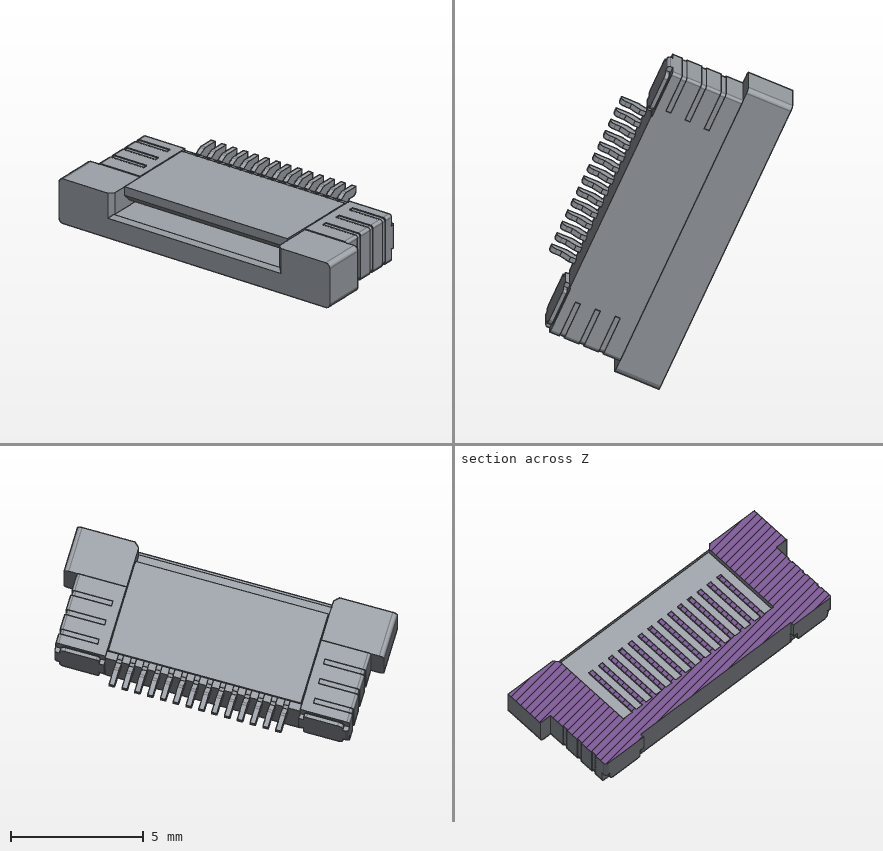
import cadquery as cq
import math

SLIDER_WIDTH = 12.55
SLIDER_DEPTH = 1.82
SLIDER_BOTTOM = 0.06
SLIDER_TOP = 1.95
SLIDER_FILLET = 0.19

HOUSING_WIDTH = 11.52
HOUSING_BACK = 4.7
HOUSING_TOP = 1.98
HOUSING_FILLET = 0.11

SLOT_WIDTH = 7.63
SLOT_FLOOR = 1.04
SLOT_BACK = 3.76
SLOT_CEILING = 1.29
SIDE_CHAMFER = 0.19
FLOOR_CHAMFER = 0.15

PLATE_WIDTH = 7.55
PLATE_FRONT = 0.75
PLATE_BACK = 4.45
LIP_BOTTOM = 1.62
STEP_BACK = 4.75
STEP_TOP = 1.88

GROOVE_WIDTH = 0.2
GROOVE_DEPTH = 0.04
GROOVE_PITCH = 0.8
FIRST_GROOVE_Y = 2.61
FIRST_GROOVE_END_X = 4.15
GROOVE_END_STEP = 0.04
GROOVE_COUNT = 3

TAB_BACK = 4.91
TAB_LOWER = 0.53
TAB_UPPER = 1.5
TAB_CORNER_FILLET = 0.11
CORE_INNER_X = 4.0
CORE_OUTER_X = 5.55
CORE_FRONT = STEP_BACK
CORE_BOTTOM = 0.15
CORE_TOP = 1.86
CORE_INNER_FILLET = 0.11
CORE_OUTER_FILLET = 0.2
NECK_INSET = 0.04

CONTACT_COUNT = 14
CONTACT_PITCH = 0.5
CONTACT_WIDTH = 0.2
TAIL_END = 5.76
TAIL_TOP = 2.05
TAIL_UNDERSIDE = 1.7
TAIL_TOE_RADIUS = 0.2
TAIL_BEND_START = 5.15
TAIL_BEND_END = 5.05
TAIL_BEND_DROP = 0.03
TAIL_HEEL = 5.35
SHANK_BOTTOM = 1.48
SHANK_BACK = 4.98
VALLEY_Y = 4.8
VALLEY_Z = 1.87
HUMP_FOOT_Y = 4.67
HUMP_FOOT_Z = 1.91
HUMP_PEAK_Y = 4.57
HUMP_PEAK_Z = 1.95
BEAM_DROP = 0.08
BEAM_FRONT = 1.25
BEAM_LEAD_IN = 0.11


def block(x0, x1, y0, y1, z0, z1):
    """Box between two opposite corners."""
    return cq.Workplane("XY").box(x1 - x0, y1 - y0, z1 - z0, centered=False).translate((x0, y0, z0))


def centred_block(width, y0, y1, z0, z1):
    """Box symmetric about X = 0."""
    return block(-width / 2, width / 2, y0, y1, z0, z1)


def extrude_across(profile, width):
    """Extrude a closed (Y, Z) outline symmetrically along X."""
    return profile.close().extrude(width / 2, both=True)


def both_sides(shape):
    """The shape together with its mirror image across X = 0."""
    return shape.union(shape.mirror("YZ"))


def slider():
    """Wide front block with rounded long edges."""
    body = centred_block(SLIDER_WIDTH, 0, SLIDER_DEPTH, SLIDER_BOTTOM, SLIDER_TOP)
    return body.edges("|Y").fillet(SLIDER_FILLET)


def housing():
    """Block behind the slider with rounded long edges."""
    body = centred_block(HOUSING_WIDTH, SLIDER_DEPTH, HOUSING_BACK, 0, HOUSING_TOP)
    return body.edges("|Y").fillet(HOUSING_FILLET)


def grooves():
    """Material removed by the grip grooves of the right wing."""
    half = HOUSING_WIDTH / 2
    rings = cq.Workplane("XY")
    for i in range(GROOVE_COUNT):
        y = FIRST_GROOVE_Y + i * GROOVE_PITCH
        y0 = y - GROOVE_WIDTH / 2
        y1 = y + GROOVE_WIDTH / 2
        inner_x = FIRST_GROOVE_END_X + i * GROOVE_END_STEP
        core = block(0, half - GROOVE_DEPTH, y0, y1, GROOVE_DEPTH, HOUSING_TOP - GROOVE_DEPTH)
        core = core.edges("|Y and >X").fillet(HOUSING_FILLET)
        rings = rings.add(block(inner_x, half, y0, y1, 0, HOUSING_TOP).cut(core))
    return rings.combine()


def centre_pocket():
    """Opening between the wings, with a mouth flared by chamfers at the sides and the floor."""
    half = SLOT_WIDTH / 2
    mouth_half = half + SIDE_CHAMFER
    mouth_bottom = SLOT_FLOOR - FLOOR_CHAMFER
    pocket = centred_block(SLOT_WIDTH, 0, HOUSING_BACK, SLOT_FLOOR, HOUSING_TOP)
    side_flare = (
        cq.Workplane("XY", origin=(0, 0, mouth_bottom))
        .polyline([(-mouth_half, 0), (mouth_half, 0), (half, SIDE_CHAMFER), (-half, SIDE_CHAMFER)])
        .close()
        .extrude(HOUSING_TOP - mouth_bottom)
    )
    floor_flare = extrude_across(
        cq.Workplane("YZ").polyline(
            [
                (0, mouth_bottom),
                (FLOOR_CHAMFER, SLOT_FLOOR),
                (SIDE_CHAMFER, SLOT_FLOOR),
                (SIDE_CHAMFER, HOUSING_TOP),
                (0, HOUSING_TOP),
            ]
        ),
        2 * mouth_half,
    )
    return pocket.union(side_flare.intersect(floor_flare))


def cover_plate():
    """Plate with a 45 degree lead-in under its front edge, and the slot end with its rear step."""
    plate = extrude_across(
        cq.Workplane("YZ").polyline(
            [
                (PLATE_FRONT, HOUSING_TOP),
                (PLATE_FRONT, LIP_BOTTOM),
                (PLATE_FRONT + LIP_BOTTOM - SLOT_CEILING, SLOT_CEILING),
                (PLATE_BACK, SLOT_CEILING),
                (PLATE_BACK, HOUSING_TOP),
            ]
        ),
        PLATE_WIDTH,
    )
    rear = centred_block(SLOT_WIDTH, SLOT_BACK, STEP_BACK, 0, STEP_TOP)
    return plate.union(rear)


def tab():
    """Locking tab behind the right wing: a wide band around a taller core on a short neck."""
    band = block(SLOT_WIDTH / 2, HOUSING_WIDTH / 2, HOUSING_BACK, TAB_BACK, TAB_LOWER, TAB_UPPER)
    band = band.edges("|Z and >X and >Y").fillet(TAB_CORNER_FILLET)
    neck = block(
        CORE_INNER_X + NECK_INSET,
        CORE_OUTER_X - NECK_INSET,
        HOUSING_BACK,
        CORE_FRONT,
        CORE_BOTTOM + NECK_INSET,
        CORE_TOP - NECK_INSET,
    )
    neck = neck.edges("|Y and >X").fillet(CORE_OUTER_FILLET - NECK_INSET)
    neck = neck.edges("|Y and <X").fillet(CORE_INNER_FILLET - NECK_INSET)
    core = block(CORE_INNER_X, CORE_OUTER_X, CORE_FRONT, TAB_BACK, CORE_BOTTOM, CORE_TOP)
    core = core.edges("|Y and >X").fillet(CORE_OUTER_FILLET)
    core = core.edges("|Y and <X").fillet(CORE_INNER_FILLET)
    return band.union(neck).union(core)


def contact_tail():
    """Tail centred on X = 0: rounded hump on the step, sloped bend and flat toe."""
    toe_y = TAIL_END - TAIL_TOE_RADIUS
    toe_z = TAIL_UNDERSIDE + TAIL_TOE_RADIUS
    diagonal = math.sqrt(0.5)
    profile = (
        cq.Workplane("YZ")
        .moveTo(PLATE_BACK, SHANK_BOTTOM)
        .lineTo(PLATE_BACK, STEP_TOP)
        .threePointArc((HUMP_PEAK_Y, HUMP_PEAK_Z), (HUMP_FOOT_Y, HUMP_FOOT_Z))
        .lineTo(VALLEY_Y, VALLEY_Z)
        .lineTo(TAIL_BEND_END, TAIL_TOP - TAIL_BEND_DROP)
        .tangentArcPoint((TAIL_BEND_START, TAIL_TOP), relative=False)
        .lineTo(TAIL_END, TAIL_TOP)
        .lineTo(TAIL_END, toe_z)
        .threePointArc(
            (toe_y + TAIL_TOE_RADIUS * diagonal, toe_z - TAIL_TOE_RADIUS * diagonal),
            (toe_y, TAIL_UNDERSIDE),
        )
        .lineTo(TAIL_HEEL, TAIL_UNDERSIDE)
        .lineTo(SHANK_BACK, SHANK_BOTTOM)
    )
    return extrude_across(profile, CONTACT_WIDTH)


def contact_beam():
    """Beam centred on X = 0 standing out below the slot ceiling, with a sloped front end."""
    beam_bottom = SLOT_CEILING - BEAM_DROP
    profile = cq.Workplane("YZ").polyline(
        [
            (BEAM_FRONT, SLOT_CEILING),
            (BEAM_FRONT + BEAM_LEAD_IN, beam_bottom),
            (SLOT_BACK, beam_bottom),
            (SLOT_BACK, SLOT_CEILING),
        ]
    )
    return extrude_across(profile, CONTACT_WIDTH)


result = slider().union(housing()).cut(both_sides(grooves()))
result = result.cut(centre_pocket()).union(cover_plate()).union(both_sides(tab()))
for i in range(CONTACT_COUNT):
    x = (i - (CONTACT_COUNT - 1) / 2) * CONTACT_PITCH
    result = result.union(contact_tail().union(contact_beam()).translate((x, 0, 0)))